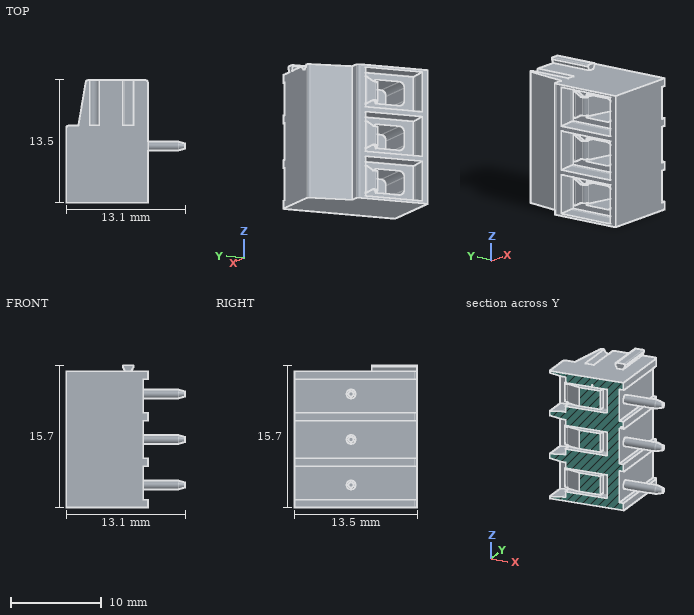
import cadquery as cq

pole_count = 3
pitch = 5.0
housing_height = pole_count * pitch
overall_height = 15.68
housing_width = 9.0
housing_length = 13.5
base_plane = 8.5
step_y = 8.5
step_length = housing_length - step_y
slope_start_x = 1.33
slope_end_x = 2.18
step_round = 0.3
crest_round = 0.3

foot_height = 0.9

pin_y = 6.24
pin_radius = 0.5
pin_tip_radius = 0.28
pin_shoulder_x = 12.31
pin_end_x = 13.1
pin_root_depth = 0.78

rail_x = 6.82
rail_top_half = 0.61
rail_base_half = 0.36
rail_round = 0.19
rail_lip = 0.19
groove_x = 3.1
groove_half = 0.53
groove_depth = 0.47

pocket_y_min = 0.7
pocket_y_max = 7.48
pocket_half = 2.23
pocket_taper_depth = 1.47
pocket_taper_inset = 0.2
pocket_straight_depth = 0.45
pocket_depth = pocket_taper_depth + pocket_straight_depth

hole_y_min = 1.99
hole_y_max = 5.49
hole_half = 1.35
hole_depth = 5.02
hole_outer_round = 0.63
hole_inner_round = 0.13

guide_y_min = 5.22
guide_y_max = 7.15
guide_round = 0.45
guide_flare_y = guide_y_max - guide_round
guide_neck_y = 5.9
guide_wide_half = 1.5
guide_neck_half = 1.03
leaf_half = 1.11
leaf_end_y = 4.06
leaf_depth = 4.23
leaf_end_x = pocket_depth + leaf_depth


def yz_plane(x):
    """Sketch plane at the given X, drawn in (Y, Z) and extruded toward +X."""
    return cq.Workplane("YZ", origin=(x, 0, 0))


def make_housing():
    body = (
        cq.Workplane("XY")
        .polyline([
            (0, 0),
            (housing_width, 0),
            (housing_width, housing_length),
            (slope_end_x, housing_length),
            (slope_start_x, step_y),
            (0, step_y),
        ])
        .close()
        .extrude(housing_height)
    )
    step_corner = cq.selectors.NearestToPointSelector((0, step_y, housing_height / 2))
    body = body.edges(step_corner).fillet(step_round)
    return body.edges("|Z and >Y").fillet(crest_round)


def make_foot_gaps():
    """One gap per pole; feet remain between poles and, at full height, at both ends."""
    gaps = cq.Workplane("XY")
    for index in range(pole_count):
        bottom = foot_height if index == 0 else index * pitch + foot_height / 2
        is_last = index == pole_count - 1
        top = housing_height - foot_height if is_last else (index + 1) * pitch - foot_height / 2
        gap = cq.Workplane("XY", origin=(base_plane, 0, bottom)).box(
            housing_width - base_plane, housing_length, top - bottom, centered=False
        )
        gaps = gaps.add(gap)
    return gaps.combine()


def make_rail():
    top_z = overall_height
    lip_z = overall_height - rail_lip
    return (
        cq.Workplane("XZ", origin=(rail_x, housing_length, 0))
        .moveTo(-rail_base_half, housing_height)
        .lineTo(-rail_top_half, lip_z)
        .radiusArc((-rail_top_half + rail_round, top_z), rail_round)
        .lineTo(rail_top_half - rail_round, top_z)
        .radiusArc((rail_top_half, lip_z), rail_round)
        .lineTo(rail_base_half, housing_height)
        .close()
        .extrude(step_length)
    )


def make_groove():
    return (
        cq.Workplane("XZ", origin=(groove_x, housing_length, housing_height))
        .moveTo(-groove_half, 0)
        .threePointArc((0, -groove_depth), (groove_half, 0))
        .close()
        .extrude(step_length)
    )


def make_pin(center_z):
    root_x = base_plane - pin_root_depth
    return (
        cq.Workplane("XY", origin=(0, pin_y, center_z))
        .polyline([
            (root_x, 0),
            (root_x, pin_radius),
            (pin_shoulder_x, pin_radius),
            (pin_end_x, pin_tip_radius),
            (pin_end_x, 0),
        ])
        .close()
        .revolve(360, (0, 0, 0), (1, 0, 0))
    )


def make_pocket(center_z):
    """Rectangular entry: drafted walls, then a short straight stretch down to the floor."""
    center_y = (pocket_y_min + pocket_y_max) / 2
    mouth_length = pocket_y_max - pocket_y_min
    mouth_height = 2 * pocket_half
    floor_length = mouth_length - 2 * pocket_taper_inset
    floor_height = mouth_height - 2 * pocket_taper_inset
    drafted = (
        yz_plane(0)
        .center(center_y, center_z)
        .rect(mouth_length, mouth_height)
        .workplane(offset=pocket_taper_depth)
        .rect(floor_length, floor_height)
        .loft(ruled=True)
    )
    straight = (
        yz_plane(pocket_taper_depth)
        .center(center_y, center_z)
        .rect(floor_length, floor_height)
        .extrude(pocket_straight_depth)
    )
    return drafted.union(straight)


def make_wire_hole(center_z):
    """Blind hole with small rounds beside the guide and large ones opposite."""
    return (
        yz_plane(pocket_depth)
        .center((hole_y_min + hole_y_max) / 2, center_z)
        .rect(hole_y_max - hole_y_min, 2 * hole_half)
        .extrude(hole_depth)
        .edges("|X and <Y")
        .fillet(hole_outer_round)
        .edges("|X and >Y")
        .fillet(hole_inner_round)
    )


def make_wire_guide(center_z):
    """Bent tongue: a flared crest on the pocket floor and a leaf leaning across the wire hole."""
    crest_x = pocket_depth - guide_round
    crest_profile = (
        cq.Workplane("XY", origin=(0, 0, center_z - guide_wide_half))
        .moveTo(crest_x, guide_flare_y)
        .radiusArc((pocket_depth, guide_y_max), guide_round)
        .lineTo(pocket_depth, guide_y_min)
        .radiusArc((crest_x, guide_y_min + guide_round), guide_round)
        .close()
        .extrude(2 * guide_wide_half)
    )
    crest_outline = (
        yz_plane(crest_x)
        .center(0, center_z)
        .polyline([
            (guide_y_max, guide_wide_half),
            (guide_flare_y, guide_wide_half),
            (guide_neck_y, guide_neck_half),
            (guide_y_min, guide_neck_half),
            (guide_y_min, -guide_neck_half),
            (guide_neck_y, -guide_neck_half),
            (guide_flare_y, -guide_wide_half),
            (guide_y_max, -guide_wide_half),
        ])
        .close()
        .extrude(guide_round)
    )
    leaf = (
        cq.Workplane("XY", origin=(0, 0, center_z - leaf_half))
        .polyline([
            (pocket_depth, hole_y_max),
            (pocket_depth, guide_y_min),
            (leaf_end_x, leaf_end_y),
            (leaf_end_x, hole_y_max),
        ])
        .close()
        .extrude(2 * leaf_half)
    )
    return crest_profile.intersect(crest_outline).union(leaf)


result = make_housing().cut(make_foot_gaps()).cut(make_groove()).union(make_rail())
for pole in range(pole_count):
    pole_z = (pole + 0.5) * pitch
    result = result.cut(make_pocket(pole_z)).cut(make_wire_hole(pole_z))
    result = result.union(make_wire_guide(pole_z)).union(make_pin(pole_z))